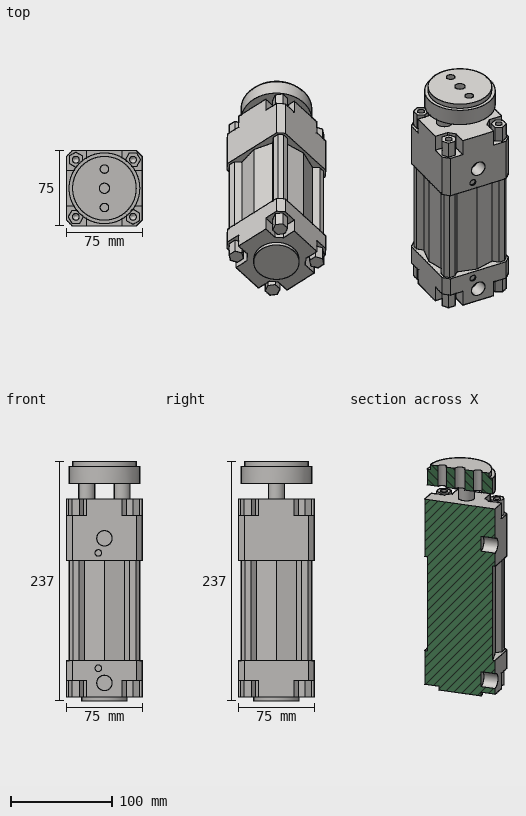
import cadquery as cq
import math

cap_width = 75.0
cap_chamfer = 6.0
cap_half = cap_width / 2

locating_boss_diameter = 45.0
locating_boss_height = 4.0
lower_cap_height = 36.0
tube_length = 99.0
upper_cap_height = 61.0

lower_cap_bottom = locating_boss_height
lower_cap_top = lower_cap_bottom + lower_cap_height
upper_cap_bottom = lower_cap_top + tube_length
upper_cap_top = upper_cap_bottom + upper_cap_height

recess_size = 20.0
recess_depth = 16.5
recess_chamfer = 6.0
nut_spacing = 56.5
nut_across_flats = 13.0
nut_corner_diameter = nut_across_flats / math.cos(math.pi / 6)
nut_hole_diameter = 6.75
nut_hole_depth = 12.0
drill_point_angle = 118.0

tube_half = 35.0
post_chamfer = 4.0
post_shoulder = 25.0
groove_depth = 5.2

port_diameter = 15.2
port_depth = 15.0
lower_port_z = 18.0
upper_port_z = 161.0
screw_hole_diameter = 6.5
screw_hole_depth = 1.5
screw_hole_x = -6.0
screw_hole_offset = 14.5

rod_diameter = 16.0
rod_spacing = 35.0
rod_length = 15.0
flange_diameter = 70.0
flange_thickness = 17.0
face_diameter = 63.0
face_thickness = 5.0
center_hole_diameter = 10.11
side_hole_diameter = 8.38
side_hole_spacing = 38.0

flange_bottom = upper_cap_top + rod_length
face_bottom = flange_bottom + flange_thickness


def disc(diameter, height, z, centers=((0, 0),)):
    return cq.Workplane("XY", origin=(0, 0, z)).pushPoints(centers).circle(diameter / 2).extrude(height)


def cap(bottom, height):
    """Square block with chamfered vertical edges."""
    block = cq.Workplane("XY", origin=(0, 0, bottom)).rect(cap_width, cap_width).extrude(height)
    return block.edges("|Z").chamfer(cap_chamfer)


def tube():
    """One side of the outline, turned to all four sides."""
    groove_x = post_shoulder - groove_depth
    groove_y = groove_depth - tube_half
    side = [
        (post_chamfer - tube_half, -tube_half),
        (-post_shoulder, -tube_half),
        (-groove_x, groove_y),
        (0, -tube_half),
        (groove_x, groove_y),
        (post_shoulder, -tube_half),
        (tube_half - post_chamfer, -tube_half),
    ]
    outline = list(side)
    for _ in range(3):
        side = [(-y, x) for x, y in side]
        outline += side
    return cq.Workplane("XY", origin=(0, 0, lower_cap_top)).polyline(outline).close().extrude(tube_length)


def corner_recess(bottom):
    """Cutter for the (+X, +Y) corner, with its inner edge chamfered."""
    center = cap_half - recess_size / 2
    block = cq.Workplane("XY", origin=(center, center, bottom)).rect(recess_size, recess_size)
    return block.extrude(recess_depth).edges("|Z and <X and <Y").chamfer(recess_chamfer)


def corner_nut(bottom):
    """Hexagonal nut for the (+X, +Y) corner."""
    center = nut_spacing / 2
    return (
        cq.Workplane("XY", origin=(center, center, bottom))
        .polygon(6, nut_corner_diameter)
        .extrude(recess_depth)
    )


def nut_hole():
    """Drilled hole with a conical end, for the top of the (+X, +Y) nut."""
    center = nut_spacing / 2
    radius = nut_hole_diameter / 2
    tip_depth = nut_hole_depth + radius / math.tan(math.radians(drill_point_angle / 2))
    return (
        cq.Workplane("XZ", origin=(center, center, upper_cap_top))
        .polyline([(0, 0), (radius, 0), (radius, -nut_hole_depth), (0, -tip_depth)])
        .close()
        .revolve(360, (0, 0, 0), (0, 1, 0))
    )


def side_hole(diameter, depth, x, z):
    """Cutter for a blind hole going in from the -Y side."""
    plane = cq.Workplane("XZ", origin=(x, -cap_half, z))
    return plane.circle(diameter / 2).extrude(-depth)


def make_housing():
    body = cap(lower_cap_bottom, lower_cap_height).union(tube())
    body = body.union(cap(upper_cap_bottom, upper_cap_height))
    body = body.union(disc(locating_boss_diameter, locating_boss_height, 0))

    for corner in range(4):
        turn = 90 * corner
        for bottom in (lower_cap_bottom, upper_cap_top - recess_depth):
            body = body.cut(corner_recess(bottom).rotate((0, 0, 0), (0, 0, 1), turn))
            body = body.union(corner_nut(bottom).rotate((0, 0, 0), (0, 0, 1), turn))
        body = body.cut(nut_hole().rotate((0, 0, 0), (0, 0, 1), turn))

    for port_z, screw_z in (
        (lower_port_z, lower_port_z + screw_hole_offset),
        (upper_port_z, upper_port_z - screw_hole_offset),
    ):
        body = body.cut(side_hole(port_diameter, port_depth, 0, port_z))
        body = body.cut(side_hole(screw_hole_diameter, screw_hole_depth, screw_hole_x, screw_z))
    return body


def make_plunger():
    rod_centers = [(-rod_spacing / 2, 0), (rod_spacing / 2, 0)]
    hole_centers = [(0, -side_hole_spacing / 2), (0, side_hole_spacing / 2)]
    disc_thickness = flange_thickness + face_thickness

    body = disc(flange_diameter, flange_thickness, flange_bottom)
    body = body.union(disc(face_diameter, face_thickness, face_bottom))
    body = body.union(disc(rod_diameter, rod_length, upper_cap_top, rod_centers))
    body = body.cut(disc(center_hole_diameter, disc_thickness, flange_bottom))
    return body.cut(disc(side_hole_diameter, disc_thickness, flange_bottom, hole_centers))


housing = make_housing()
plunger = make_plunger()

result = cq.Compound.makeCompound([housing.val(), plunger.val()])